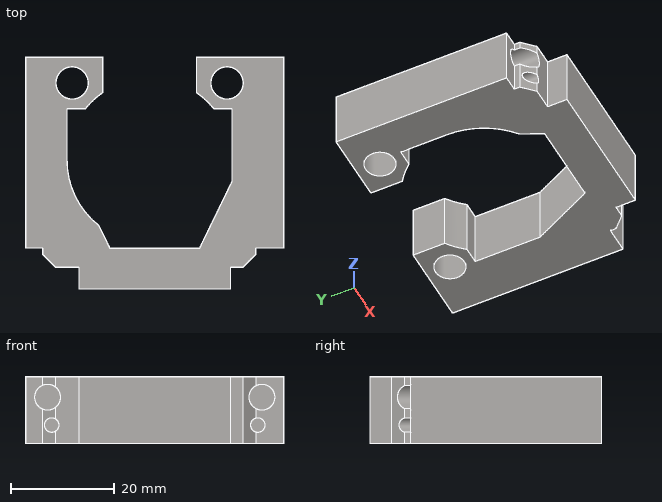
import cadquery as cq

width = 50.0
depth = 44.9
height = 13.0
middle_x = width / 2

leg_front_y = 7.9
step_y = 4.2
tab_width = 29.4
shoulder_left_x = 3.3
shoulder_right_x = 44.6
shoulder_chamfer = 2.5

bore_x = 24.0
bore_y = depth - 20.0
bore_radius = 15.95
mouth_width = 18.1
jaw_length = 10.0
jaw_y = depth - jaw_length

taper_top_y = 20.85
taper_top_width = 30.0
taper_bottom_width = 17.3

jaw_hole_diameter = 6.2
jaw_hole_spacing = 30.0
jaw_hole_inset = 5.0

large_hole = (5.0, 41.5, 9.0)
small_hole = (2.8, 39.9, 3.6)
front_hole_depth = 10.0


def box(left, right, front, back):
    """Full-height block between the given X and Y limits."""
    return cq.Workplane("XY").box(right - left, back - front, height, centered=False).translate((left, front, 0))


def make_body():
    legs = box(0, width, leg_front_y, depth)
    shoulder = box(shoulder_left_x, shoulder_right_x, step_y, leg_front_y)
    shoulder = shoulder.edges("|Z and <Y").chamfer(shoulder_chamfer)
    tab = box(middle_x - tab_width / 2, middle_x + tab_width / 2, 0, leg_front_y)
    return legs.union(shoulder).union(tab)


def make_cavity():
    bore = cq.Workplane("XY").center(bore_x, bore_y).circle(bore_radius).extrude(height)
    square_part = box(bore_x - bore_radius, bore_x + bore_radius, bore_y, jaw_y)
    right_side = box(bore_x, bore_x + bore_radius, taper_top_y, jaw_y)
    mouth = box(bore_x - mouth_width / 2, bore_x + mouth_width / 2, bore_y, depth)
    taper = (
        cq.Workplane("XY")
        .polyline([
            (middle_x - taper_top_width / 2, taper_top_y),
            (middle_x - taper_bottom_width / 2, leg_front_y),
            (middle_x + taper_bottom_width / 2, leg_front_y),
            (bore_x + bore_radius, taper_top_y),
        ])
        .close()
        .extrude(height)
    )
    return bore.union(square_part).union(right_side).union(mouth).union(taper)


def make_jaw_holes():
    half_spacing = jaw_hole_spacing / 2
    centres = [(bore_x + side * half_spacing, depth - jaw_hole_inset) for side in (-1, 1)]
    return cq.Workplane("XY").pushPoints(centres).circle(jaw_hole_diameter / 2).extrude(height)


def make_front_holes(diameter, spacing, hole_z):
    """Pair of holes along Y, drilled from ahead of the shoulder into the legs."""
    centres = [(middle_x + side * spacing / 2, hole_z) for side in (-1, 1)]
    end_y = leg_front_y + front_hole_depth
    return cq.Workplane("XZ").pushPoints(centres).circle(diameter / 2).extrude(-end_y)


result = make_body().cut(make_cavity()).cut(make_jaw_holes())
for hole_sizes in (large_hole, small_hole):
    result = result.cut(make_front_holes(*hole_sizes))